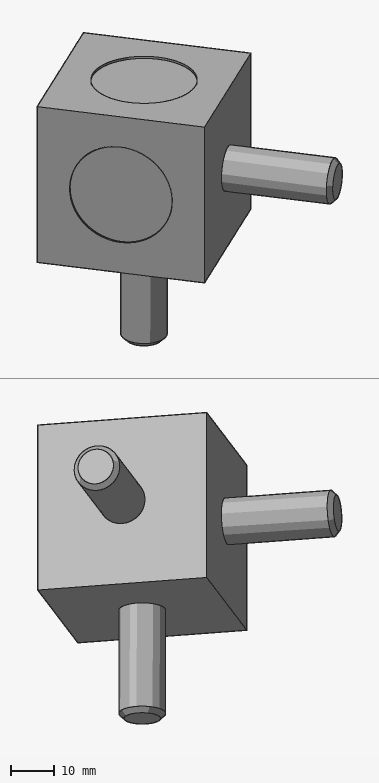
import cadquery as cq

OVERALL = 66.6
CUBE_SIDE = 40.0
HALF_SIDE = CUBE_SIDE / 2

RECESS_RADIUS = 12.25
RECESS_DEPTH = 0.5
DOME_RISE = 0.3
DOME_HEIGHT = RECESS_DEPTH + DOME_RISE
DOME_SPHERE_RADIUS = (RECESS_RADIUS**2 + DOME_HEIGHT**2) / (2 * DOME_HEIGHT)

SHAFT_RADIUS = 5.4
SHAFT_CHAMFER = 1.2
SHAFT_TIP = OVERALL - HALF_SIDE - DOME_RISE

SHAFT_DIRECTIONS = [(1, 0, 0), (0, 1, 0), (0, 0, -1)]


def make_shaft(direction):
    """Round shaft from the cube centre along a direction, chamfered at its tip."""
    base = cq.Plane(origin=(0, 0, 0), normal=direction)
    shaft = cq.Workplane(base).circle(SHAFT_RADIUS).extrude(SHAFT_TIP)
    tip = cq.DirectionMinMaxSelector(cq.Vector(direction), True)
    return shaft.faces(tip).chamfer(SHAFT_CHAMFER)


def make_recess(face_plane):
    """Flat-bottomed round pocket below a cube face."""
    return cq.Workplane(face_plane).circle(RECESS_RADIUS).extrude(-RECESS_DEPTH)


def make_dome(face_plane):
    """Shallow spherical dome on the recess floor, crowning just above the cube face."""
    profile = (
        cq.Workplane("XZ")
        .moveTo(0, -RECESS_DEPTH)
        .lineTo(RECESS_RADIUS, -RECESS_DEPTH)
        .radiusArc((0, DOME_RISE), -DOME_SPHERE_RADIUS)
        .close()
    )
    dome = profile.revolve(360, (0, 0, 0), (0, 1, 0))
    return cq.Workplane(dome.val().moved(face_plane.location))


result = cq.Workplane("XY").box(CUBE_SIDE, CUBE_SIDE, CUBE_SIDE)
for direction in SHAFT_DIRECTIONS:
    outward = cq.Vector(direction) * -1
    dome_face = cq.Plane(origin=outward * HALF_SIDE, normal=outward)
    result = result.union(make_shaft(direction))
    result = result.cut(make_recess(dome_face))
    result = result.union(make_dome(dome_face))